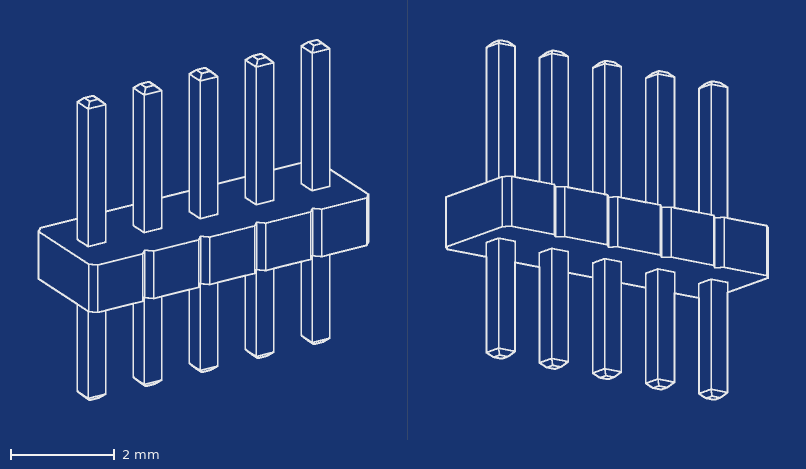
import cadquery as cq

pin_count = 5
pitch = 1.27
body_width = 2.1
body_height = 1.0
corner_chamfer = pitch / 10

pin_width = 0.4
pin_above_body = 3.0
pin_below_body = 2.3
tip_chamfer = 0.1

pin_length = pin_below_body + body_height + pin_above_body
pin_positions = [(i - (pin_count - 1) / 2) * pitch for i in range(pin_count)]


def make_body_block(y):
    """Housing block around one pin; adjoining chamfers form the V-notches."""
    return (
        cq.Workplane("XY")
        .center(0, y)
        .rect(body_width, pitch)
        .extrude(body_height)
        .edges("|Z")
        .chamfer(corner_chamfer)
    )


def make_pin(y):
    """Square pin passing through the housing, which sits on Z = 0."""
    return (
        cq.Workplane("XY", origin=(0, y, -pin_below_body))
        .rect(pin_width, pin_width)
        .extrude(pin_length)
        .faces("<Z or >Z")
        .chamfer(tip_chamfer)
    )


body = make_body_block(pin_positions[0])
for y in pin_positions[1:]:
    body = body.union(make_body_block(y))
body = body.clean()

result = body
for y in pin_positions:
    result = result.union(make_pin(y))